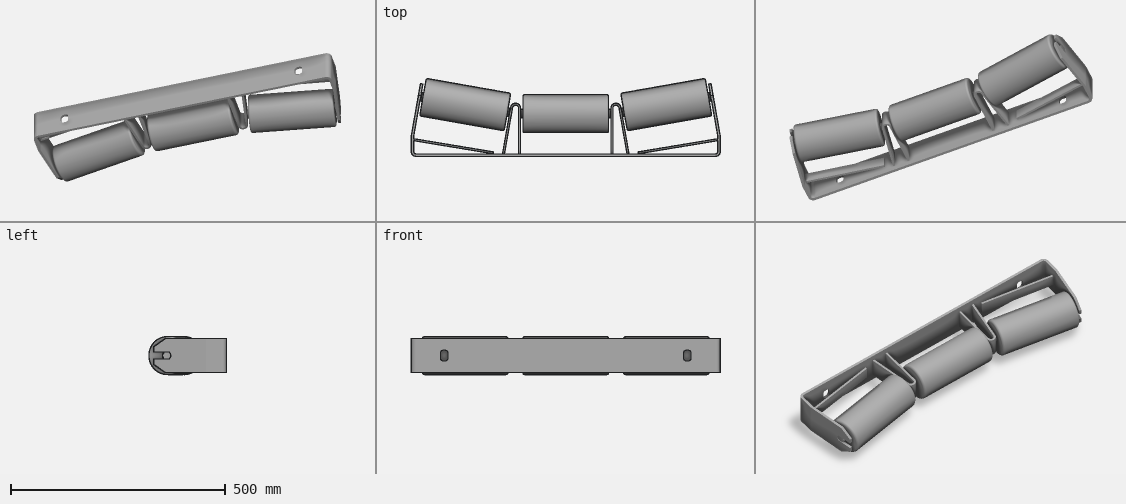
import cadquery as cq
import math

FRAME_LENGTH = 720.0
STRIP_WIDTH = 80.0
STRIP_THICKNESS = 6.2
PLATE_THICKNESS = 5.0
TILT = 10.0

ROLLER_DIAMETER = 89.0
ROLLER_LENGTH = 200.0
ROLLER_EDGE_RADIUS = 5.0
AXLE_DIAMETER = 20.0
AXLE_FLATS = 16.0
FLATS_CLEARANCE = 1.5
SUPPORT_GAP = 5.0
MIDDLE_ROLLER_Y = 100.0
SIDE_ROLLER_X = 234.0
SIDE_ROLLER_Y = 121.0

BEND_RADIUS = 12.0
ARM_TIP_REACH = 30.0
ARM_TIP_WIDTH = 42.0
ARM_TAPER_LENGTH = 27.0
HAIRPIN_TOP = 124.5
HAIRPIN_WIDTH = 50.0
BRACE_START = 42.0
BRACE_END_X = 168.5
BRACE_WIDTH = 30.0
MOUNT_HOLE_X = 283.0
MOUNT_HOLE_WIDTH = 18.0
MOUNT_HOLE_HEIGHT = 25.0
MOUNT_HOLE_CORNER = 7.0

HALF_LENGTH = FRAME_LENGTH / 2
SIN_TILT = math.sin(math.radians(TILT))
COS_TILT = math.cos(math.radians(TILT))
SUPPORT_INNER = ROLLER_LENGTH / 2 + SUPPORT_GAP
SUPPORT_OUTER = SUPPORT_INNER + PLATE_THICKNESS
ARM_OUTER = SUPPORT_INNER + STRIP_THICKNESS


def from_side_roller(along, up):
    """Point in X and Y, given along and square to the axis of the left outer roller."""
    x = -SIDE_ROLLER_X + along * COS_TILT + up * SIN_TILT
    y = SIDE_ROLLER_Y - along * SIN_TILT + up * COS_TILT
    return (x, y)


def point_at_x(along, x):
    """Point at the given X on the line square to the left outer roller's axis."""
    up = (x + SIDE_ROLLER_X - along * COS_TILT) / SIN_TILT
    return from_side_roller(along, up)


def point_at_y(along, y):
    """Point at the given Y on the line square to the left outer roller's axis."""
    up = (y - SIDE_ROLLER_Y + along * SIN_TILT) / COS_TILT
    return from_side_roller(along, up)


def slab(outline, width):
    """Extrude a closed XY outline symmetrically about Z = 0."""
    return outline.close().extrude(width / 2, both=True)


def mirrored(body):
    """The body joined with its mirror image in the YZ plane."""
    return body.union(body.mirror("YZ"))


def place_on_side(body):
    """Move a body from the origin, axis along X, to the left outer roller's place."""
    tilted = body.rotate((0, 0, 0), (0, 0, 1), -TILT)
    return tilted.translate((-SIDE_ROLLER_X, SIDE_ROLLER_Y, 0))


def make_roller():
    """Roller about the X axis, centred on the origin, with a flatted axle end on both sides."""
    shell = (
        cq.Workplane("YZ", origin=(-ROLLER_LENGTH / 2, 0, 0))
        .circle(ROLLER_DIAMETER / 2)
        .extrude(ROLLER_LENGTH)
        .edges()
        .fillet(ROLLER_EDGE_RADIUS)
    )
    axle = make_rod(SUPPORT_INNER - FLATS_CLEARANCE)
    return shell.union(axle).union(make_flatted_rod(SUPPORT_OUTER))


def make_rod(half_length):
    """Round rod along the X axis with the axle's diameter."""
    return cq.Workplane("YZ", origin=(-half_length, 0, 0)).circle(AXLE_DIAMETER / 2).extrude(2 * half_length)


def make_flatted_rod(half_length):
    """Axle rod with two flats facing up and down Z."""
    flats = cq.Workplane("XY").box(2 * half_length, AXLE_DIAMETER, AXLE_FLATS)
    return make_rod(half_length).intersect(flats)


def make_strip():
    """Long strip: the base, a rounded bend up into each end wall, and a slight bend into each arm."""
    inner_x = HALF_LENGTH - STRIP_THICKNESS
    inner_radius = BEND_RADIUS - STRIP_THICKNESS
    outer_crease = point_at_x(-ARM_OUTER, -HALF_LENGTH)
    inner_crease = point_at_x(-SUPPORT_INNER, -inner_x)
    outline = (
        cq.Workplane("XY")
        .moveTo(0, 0)
        .lineTo(-HALF_LENGTH, 0)
        .lineTo(*outer_crease)
        .lineTo(*from_side_roller(-ARM_OUTER, ARM_TIP_REACH))
        .lineTo(*from_side_roller(-SUPPORT_INNER, ARM_TIP_REACH))
        .lineTo(*inner_crease)
        .lineTo(-inner_x, STRIP_THICKNESS)
        .lineTo(0, STRIP_THICKNESS)
    )
    half = slab(outline, STRIP_WIDTH)
    outer_bends = [(-HALF_LENGTH, 0), outer_crease]
    inner_bends = [(-inner_x, STRIP_THICKNESS), inner_crease]
    for bends, radius in ((outer_bends, BEND_RADIUS), (inner_bends, inner_radius)):
        for x, y in bends:
            half = half.edges(cq.NearestToPointSelector((x, y, 0))).fillet(radius)
    return mirrored(half.cut(make_tip_corners()))


def make_tip_corners():
    """Two wedges that taper the tip of the left arm across its width."""
    half_width = STRIP_WIDTH / 2
    wedge = (
        cq.Workplane("YZ", origin=(-SUPPORT_INNER - 2 * STRIP_THICKNESS, 0, 0))
        .polyline([
            (ARM_TIP_REACH - ARM_TAPER_LENGTH, half_width),
            (ARM_TIP_REACH, half_width),
            (ARM_TIP_REACH, ARM_TIP_WIDTH / 2),
        ])
        .close()
        .extrude(3 * STRIP_THICKNESS)
    )
    return place_on_side(wedge.union(wedge.mirror("XY")))


def make_hairpin():
    """Left hairpin: a sloping leg and an upright leg joined by a round bend."""
    sloping_x = -SIDE_ROLLER_X + SUPPORT_INNER * COS_TILT
    sloping_y = SIDE_ROLLER_Y - SUPPORT_INNER * SIN_TILT
    reach = (-SUPPORT_INNER - sloping_x) * COS_TILT - (HAIRPIN_TOP - sloping_y) * SIN_TILT
    outer_radius = reach / (1 + COS_TILT - SIN_TILT)
    inner_radius = outer_radius - PLATE_THICKNESS
    bend_x = -SUPPORT_INNER - outer_radius
    bend_y = HAIRPIN_TOP - outer_radius

    def sloping_tangent(radius):
        return (bend_x - radius * COS_TILT, bend_y + radius * SIN_TILT)

    outline = (
        cq.Workplane("XY")
        .moveTo(*point_at_y(SUPPORT_INNER, STRIP_THICKNESS))
        .lineTo(*sloping_tangent(outer_radius))
        .threePointArc((bend_x, HAIRPIN_TOP), (-SUPPORT_INNER, bend_y))
        .lineTo(-SUPPORT_INNER, STRIP_THICKNESS)
        .lineTo(-SUPPORT_OUTER, STRIP_THICKNESS)
        .lineTo(-SUPPORT_OUTER, bend_y)
        .threePointArc((bend_x, bend_y + inner_radius), sloping_tangent(inner_radius))
        .lineTo(*point_at_y(SUPPORT_OUTER, STRIP_THICKNESS))
    )
    return slab(outline, HAIRPIN_WIDTH)


def make_brace():
    """Left flat brace, from the end wall down to the base."""
    wall_x = -HALF_LENGTH + STRIP_THICKNESS
    outline = cq.Workplane("XY").polyline([
        (wall_x, BRACE_START),
        (wall_x, BRACE_START - PLATE_THICKNESS),
        (-BRACE_END_X, STRIP_THICKNESS),
        (-BRACE_END_X, STRIP_THICKNESS + PLATE_THICKNESS),
    ])
    return slab(outline, BRACE_WIDTH)


def make_arm_slot():
    """Open slot in the left arm, as wide as the axle flats, from the axle out past the arm's tip."""
    depth = 2 * ARM_TIP_REACH
    slot = cq.Workplane("XY").box(2 * STRIP_THICKNESS, depth, AXLE_FLATS)
    return place_on_side(slot.translate((-ARM_OUTER, depth / 2, 0)))


def make_mount_holes():
    """Upright holes with well-rounded corners through the base near both ends."""
    return (
        cq.Workplane("XZ")
        .pushPoints([(-MOUNT_HOLE_X, 0), (MOUNT_HOLE_X, 0)])
        .rect(MOUNT_HOLE_WIDTH, MOUNT_HOLE_HEIGHT)
        .extrude(-STRIP_THICKNESS)
        .edges("|Y")
        .fillet(MOUNT_HOLE_CORNER)
    )


def make_frame():
    """Bent strip with its hairpins and braces, cut to take the three axles."""
    axle_hole = make_flatted_rod(ARM_OUTER)
    left_openings = make_arm_slot().union(place_on_side(axle_hole))
    return (
        make_strip()
        .union(mirrored(make_hairpin()))
        .union(mirrored(make_brace()))
        .cut(make_mount_holes())
        .cut(left_openings)
        .cut(left_openings.mirror("YZ"))
        .cut(axle_hole.translate((0, MIDDLE_ROLLER_Y, 0)))
    )


def make_rollers():
    """Left, middle and right roller; the right one sits mirror-wise to the left one."""
    roller = make_roller()
    places = [
        (-SIDE_ROLLER_X, SIDE_ROLLER_Y, -TILT),
        (0, MIDDLE_ROLLER_Y, 0),
        (SIDE_ROLLER_X, SIDE_ROLLER_Y, TILT),
    ]
    return [roller.rotate((0, 0, 0), (0, 0, 1), angle).translate((x, y, 0)) for x, y, angle in places]


frame = make_frame()
rollers = make_rollers()

result = cq.Compound.makeCompound([frame.val(), *[roller.val() for roller in rollers]])